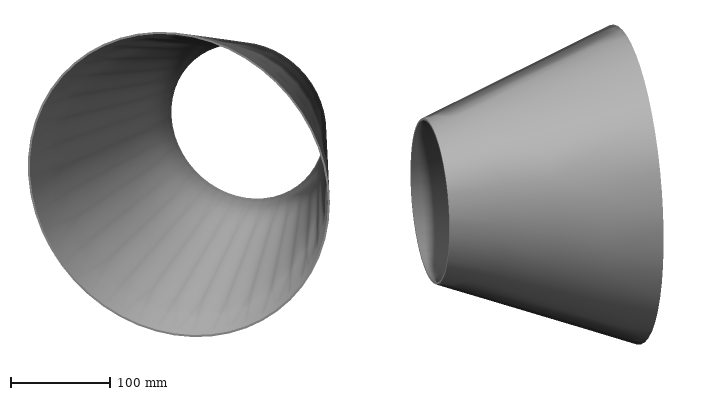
import cadquery as cq
import math

LARGE_DIAMETER = 323.9
SMALL_DIAMETER = 168.3
LENGTH = 203.0
WALL = 2.0

large_radius = LARGE_DIAMETER / 2
small_radius = SMALL_DIAMETER / 2
half_angle = math.atan2(large_radius - small_radius, LENGTH)
radial_wall = WALL / math.cos(half_angle)


def reducer_shell():
    """Revolve the sloping wall section about the Y axis."""
    section = [
        (large_radius - radial_wall, 0),
        (large_radius, 0),
        (small_radius, LENGTH),
        (small_radius - radial_wall, LENGTH),
    ]
    profile = cq.Workplane("XY").polyline(section).close()
    return profile.revolve(360, (0, 0, 0), (0, 1, 0))


result = reducer_shell()